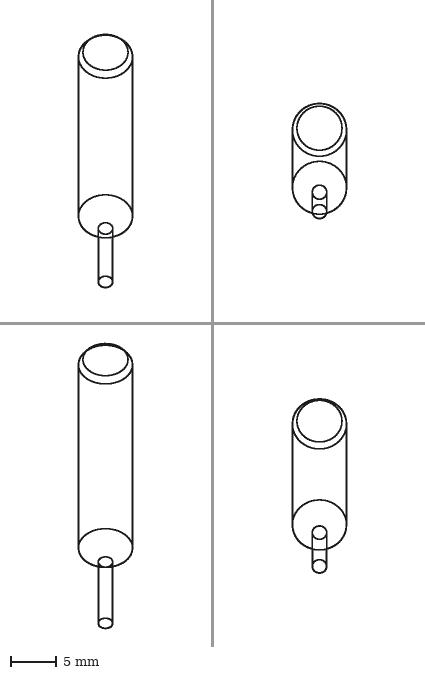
import cadquery as cq
import math

total_length = 42.0
shank_diameter = 6.0
cutter_diameter = 1.6
cutter_length = 10.0
point_angle = 140.0
taper_angle = 45.0
end_chamfer_width = 0.5
end_chamfer_height = 0.8

shank_radius = shank_diameter / 2
cutter_radius = cutter_diameter / 2
point_height = cutter_radius / math.tan(math.radians(point_angle / 2))
taper_height = (shank_radius - cutter_radius) / math.tan(math.radians(taper_angle))


def revolve_about_z(outline):
    """Revolve a closed (radius, height) outline a full turn about the Z axis."""
    return cq.Workplane("XZ").polyline(outline).close().revolve(360, (0, 0), (0, 1))


def make_cutter():
    """Slim cylinder with a shallow conical point; its flat top meets the shank."""
    return revolve_about_z([
        (0, 0),
        (cutter_radius, point_height),
        (cutter_radius, cutter_length),
        (0, cutter_length),
    ])


def make_shank():
    """Thick cylinder, tapered down to the cutter and chamfered at the upper end."""
    return revolve_about_z([
        (0, cutter_length),
        (cutter_radius, cutter_length),
        (shank_radius, cutter_length + taper_height),
        (shank_radius, total_length - end_chamfer_height),
        (shank_radius - end_chamfer_width, total_length),
        (0, total_length),
    ])


cutter = make_cutter()
shank = make_shank()

result = cq.Compound.makeCompound([cutter.val(), shank.val()])